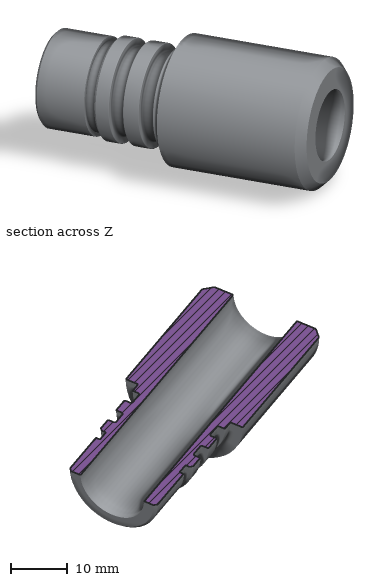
import cadquery as cq

length = 53.0
bore_diameter = 13.0

body_diameter = 24.0
body_start = 24.9
body_chamfer = 1.6

nose_diameter = 18.0
nose_length = 9.6
nose_chamfer = 0.55
neck_diameter = 16.4
neck_end = 11.55

collar_diameter = 19.0
collar_chamfer = 0.5
groove_diameter = 16.0
groove_width = 2.7
groove_starts = (14.6, 20.3)
groove_floor_fillet = 0.3
groove_rim_fillet = 0.1


def cylinder(diameter, start, end):
    """Solid cylinder about the X axis between two X positions."""
    return cq.Workplane("YZ", origin=(start, 0, 0)).circle(diameter / 2).extrude(end - start)


def seal_groove(start):
    """Ring-shaped cutter with rounded floor corners and rounded rims."""
    end = start + groove_width
    floor = groove_diameter / 2
    rim = collar_diameter / 2
    floor_r = groove_floor_fillet
    rim_r = groove_rim_fillet
    profile = (
        cq.Workplane("XY")
        .moveTo(start + floor_r, floor)
        .lineTo(end - floor_r, floor)
        .radiusArc((end, floor + floor_r), -floor_r)
        .lineTo(end, rim - rim_r)
        .radiusArc((end + rim_r, rim), rim_r)
        .lineTo(start - rim_r, rim)
        .radiusArc((start, rim - rim_r), rim_r)
        .lineTo(start, floor + floor_r)
        .radiusArc((start + floor_r, floor), -floor_r)
        .close()
    )
    return profile.revolve(360, (0, 0, 0), (1, 0, 0))


nose = cylinder(nose_diameter, 0, nose_length).faces("<X").chamfer(nose_chamfer)
neck = cylinder(neck_diameter, nose_length, neck_end)
collar = cylinder(collar_diameter, neck_end, body_start).faces("<X").chamfer(collar_chamfer)
for groove_start in groove_starts:
    collar = collar.cut(seal_groove(groove_start))
body = cylinder(body_diameter, body_start, length).faces(">X").chamfer(body_chamfer)

bore = cylinder(bore_diameter, 0, length)
result = nose.union(neck).union(collar).union(body).cut(bore)